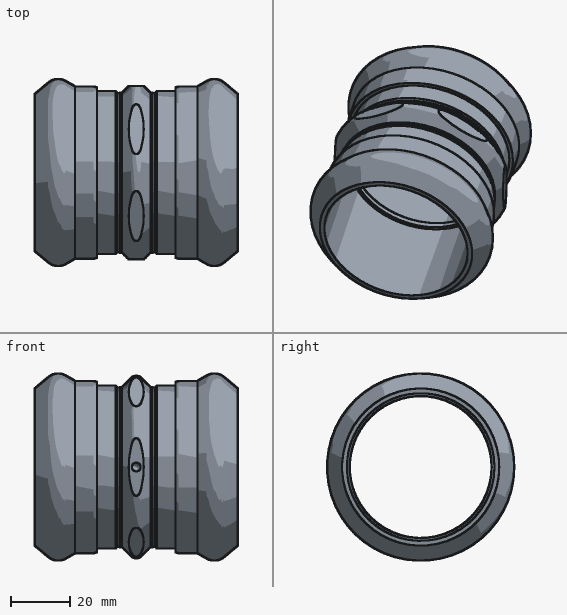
import cadquery as cq
import math

length = 68.9
half_length = length / 2
crest_radius = 31.75

bore_diameter = 50.0
stop_diameter = 48.0
stop_length = 2.1

bead_inset = 8.0
bead_round = 5.2
outer_cone_angle = math.radians(40)
inner_cone_angle = math.radians(30)

collar_radius = 58.5 / 2
collar_end = 13.3
collar_chamfer_length = 1.1
collar_chamfer_drop = 0.35
body_radius = 55.3 / 2
body_end = 6.4
groove_radius = 54.1 / 2
shoulder_radius = 27.2
shoulder_end = 5.6

ridge_round = 2.35
ridge_crest_radius = 31.0
flank_angle = math.radians(45)
flat_count = 6
flat_distance = 29.4
cutter_overshoot = 0.7

dimple_diameter = 2.95
dimple_angle = math.radians(90)


def arc_point(center_x, center_radius, arc_radius, angle):
    """Point on a profile arc, at an angle from the radial direction toward +X."""
    return (
        center_x + arc_radius * math.sin(angle),
        center_radius + arc_radius * math.cos(angle),
    )


def make_half_sleeve():
    """Revolve the outer profile of the +X half, solid on the inside."""
    ridge_center = ridge_crest_radius - ridge_round
    flank_top = arc_point(0, ridge_center, ridge_round, flank_angle)
    ridge_foot = flank_top[0] + (flank_top[1] - shoulder_radius) / math.tan(flank_angle)

    bead_x = half_length - bead_inset
    bead_center = crest_radius - bead_round
    bead_inner = arc_point(bead_x, bead_center, bead_round, -inner_cone_angle)
    bead_outer = arc_point(bead_x, bead_center, bead_round, outer_cone_angle)
    bead_foot = bead_inner[0] - (bead_inner[1] - collar_radius) / math.tan(inner_cone_angle)
    end_radius = bead_outer[1] - (half_length - bead_outer[0]) * math.tan(outer_cone_angle)

    profile = (
        cq.Workplane("XY")
        .moveTo(0, 0)
        .lineTo(0, ridge_crest_radius)
        .threePointArc(arc_point(0, ridge_center, ridge_round, flank_angle / 2), flank_top)
        .lineTo(ridge_foot, shoulder_radius)
        .lineTo(shoulder_end, shoulder_radius)
        .lineTo(shoulder_end, groove_radius)
        .lineTo(body_end, groove_radius)
        .lineTo(body_end + body_radius - groove_radius, body_radius)
        .lineTo(collar_end, body_radius)
        .lineTo(collar_end, collar_radius - collar_chamfer_drop)
        .lineTo(collar_end + collar_chamfer_length, collar_radius)
        .lineTo(bead_foot, collar_radius)
        .lineTo(*bead_inner)
        .threePointArc((bead_x, crest_radius), bead_outer)
        .lineTo(half_length, end_radius)
        .lineTo(half_length, 0)
        .close()
    )
    return profile.revolve(360, (0, 0, 0), (1, 0, 0))


def cylinder_along_x(diameter, cylinder_length):
    """Cylinder on the X axis, centered on the origin."""
    return cq.Workplane("YZ").circle(diameter / 2).extrude(cylinder_length / 2, both=True)


def make_bore():
    """Full-length stop diameter, widened from each end up to the stop ring."""
    wide = cylinder_along_x(bore_diameter, length)
    stop_zone = cylinder_along_x(bore_diameter, stop_length)
    return wide.cut(stop_zone).union(cylinder_along_x(stop_diameter, length))


def cut_flats(body):
    """Mill six flats into the ridge, two of them facing -Y and +Y."""
    ridge_width = 2 * body_end
    cutter_depth = ridge_crest_radius - flat_distance + cutter_overshoot
    cutter = cq.Workplane("XY").box(ridge_width, cutter_depth, ridge_crest_radius)
    cutter = cutter.translate((0, -flat_distance - cutter_depth / 2, 0))
    for index in range(flat_count):
        body = body.cut(cutter.rotate((0, 0, 0), (1, 0, 0), index * 360 / flat_count))
    return body


def make_dimple():
    """Cone entering the -Y flat and ending in a point on the Y axis."""
    dimple_radius = dimple_diameter / 2
    dimple_depth = dimple_radius / math.tan(dimple_angle / 2)
    profile = (
        cq.Workplane("XY")
        .moveTo(0, -flat_distance)
        .lineTo(dimple_radius, -flat_distance)
        .lineTo(0, -flat_distance + dimple_depth)
        .close()
    )
    return profile.revolve(360, (0, 0, 0), (0, 1, 0))


half_sleeve = make_half_sleeve()
sleeve = half_sleeve.union(half_sleeve.mirror("YZ"))
sleeve = cut_flats(sleeve)
result = sleeve.cut(make_bore()).cut(make_dimple())